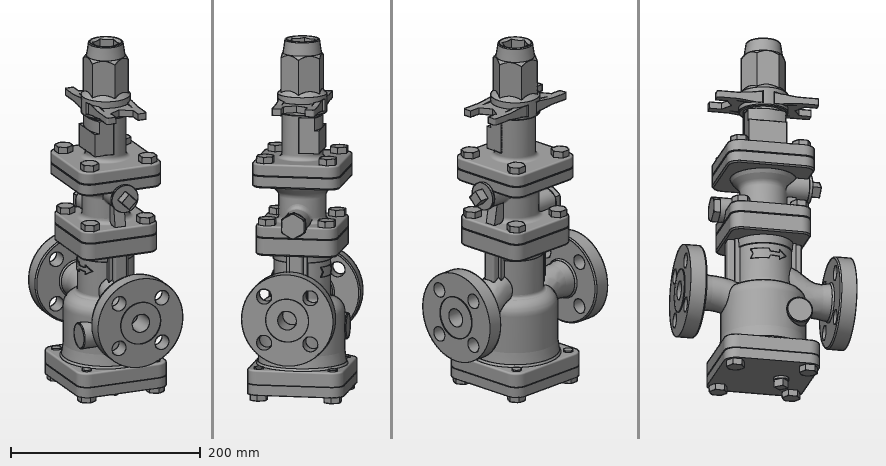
import cadquery as cq
import math


cover_bottom = -89.2
cover_split = -78.0
base_top = -62.5
skirt_top = -48.0
body_top = -7.5
mid_bottom = 59.4
mid_split = 78.6
mid_top = 91.0
upper_bottom = 132.6
upper_split = 145.5
upper_top = 158.2
housing_top = 208.0
handle_bottom = 212.7
handle_top = 219.8
cap_collar_bottom = 207.0
cap_collar_top = 227.0
hex_top = 270.5
cap_top = 285.3
overall_height = 385.0
drain_bottom = cap_top - overall_height

base_size = 103.0
base_corner = 13.0
mid_size = 87.0
mid_corner = 12.0
upper_size = 94.0
upper_corner = 13.0
plate_edge = 2.0
gasket_height = 1.0
base_gasket_height = 0.4
gasket_inset = 0.5

bolt_flats = 17.0
bolt_head = 6.8
bolt_head_chamfer = 0.7
base_bolt_offset = 39.5
mid_bolt_offset = 31.8
upper_bolt_offset = 33.5
stud_diameter = 10.0
stud_height = 1.5
stud_root = 1.0

body_radius = 45.0
skirt_radius = 46.8
neck_radius = 30.0
dome_radius = body_radius - neck_radius
neck_fillet = 4.0
neck_collar_bottom = 50.0
neck_collar_radius = 31.5
column_radius = 25.0
flare_radius = 35.0

overall_length = 182.0
flange_diameter = 98.0
flange_thickness = 18.0
flange_chamfer = 1.5
raised_face_diameter = 46.0
raised_face_height = 1.0
flange_hole_diameter = 16.0
flange_hole_circle = 70.0
flange_hole_count = 4
bore_diameter = 20.0
bore_depth = 30.0
pipe_root_diameter = 43.0
pipe_shoulder_diameter = 40.0
pipe_root_length = 2.0
pipe_diameter = 37.0
left_taper_length = 13.0
right_taper_length = 10.8
flange_back = overall_length / 2 - raised_face_height - flange_thickness

left_pipe_end = 28.0
left_pipe_rise = -7.0
left_pipe_slope = -0.4
right_pipe_end = 18.0
right_pipe_rise = 20.0
right_pipe_slope = 0.4

handle_half_width = 22.8
handle_rib_reach = 32.0


def corner_radius(flats):
    """Radius through the corners of a hexagon of the given width across flats."""
    return flats / 2 / math.cos(math.radians(30))


def hexagon(flats, height):
    """Hexagonal prism on Z = 0 with a corner on +X."""
    return cq.Workplane("XY").polygon(6, 2 * corner_radius(flats)).extrude(height)


def square_plate(size, corner, bottom, top):
    plate = cq.Workplane("XY").workplane(offset=bottom).rect(size, size).extrude(top - bottom)
    return plate.edges("|Z").fillet(corner)


def plate_pair(size, corner, bottom, split, top, seal, round_bottom):
    """Two square plates clamped on a slightly smaller gasket of height seal."""
    bottom_chamfer = 0.8 * plate_edge
    lower = square_plate(size, corner, bottom, split - seal / 2)
    upper = square_plate(size, corner, split + seal / 2, top).faces(">Z").edges().fillet(plate_edge)
    if round_bottom:
        lower = lower.faces("<Z").edges().chamfer(bottom_chamfer)
    gasket = square_plate(
        size - 2 * gasket_inset,
        corner - gasket_inset,
        split - seal / 2,
        split + seal / 2,
    )
    return lower.union(gasket).union(upper)


def corner_points(offset):
    return [(x, y) for x in (-offset, offset) for y in (-offset, offset)]


def bolt_head_up(x, y, z):
    """Hexagonal bolt head standing on height z with its top corners chamfered."""
    head = hexagon(bolt_flats, bolt_head)
    rounding = cq.Workplane("XY").circle(corner_radius(bolt_flats)).extrude(bolt_head)
    rounding = rounding.faces(">Z").chamfer(bolt_head_chamfer)
    return head.intersect(rounding).translate((x, y, z))


def turned_body():
    """Skirt, barrel, dome and neck below the middle plates."""
    foot_radius = skirt_radius + 1.5
    foot_height = 2.5
    collar_step = 0.5
    collar_taper = 0.8
    shoulder = body_top + dome_radius
    profile = (
        cq.Workplane("XZ")
        .moveTo(0, base_top)
        .lineTo(foot_radius, base_top)
        .lineTo(skirt_radius, base_top + foot_height)
        .lineTo(body_radius, skirt_top)
        .lineTo(body_radius, body_top)
        .radiusArc((neck_radius + neck_fillet, shoulder), -dome_radius)
        .radiusArc((neck_radius, shoulder + neck_fillet), neck_fillet)
        .lineTo(neck_radius, neck_collar_bottom)
        .lineTo(neck_collar_radius - collar_taper, neck_collar_bottom + collar_step)
        .lineTo(neck_collar_radius, mid_bottom)
        .lineTo(0, mid_bottom)
        .close()
    )
    return profile.revolve(360, (0, 0, 0), (0, 1, 0))


def turned_column():
    """Column between the middle and upper plates, flared at its top."""
    foot_fillet = 5.5
    throat_fillet = 8.0
    throat_bottom = 117.5
    flare_step_height = 4.2
    half_turn = math.radians(45)
    throat_top_radius = column_radius + throat_fillet * (1 - math.cos(half_turn))
    throat_top = throat_bottom + throat_fillet * math.sin(half_turn)
    flare_step = upper_bottom - flare_step_height
    flare_step_radius = throat_top_radius + flare_step - throat_top
    profile = (
        cq.Workplane("XZ")
        .moveTo(0, mid_top)
        .lineTo(column_radius + foot_fillet, mid_top)
        .radiusArc((column_radius, mid_top + foot_fillet), foot_fillet)
        .lineTo(column_radius, throat_bottom)
        .radiusArc((throat_top_radius, throat_top), throat_fillet)
        .lineTo(flare_step_radius, flare_step)
        .lineTo(flare_radius, upper_bottom)
        .lineTo(0, upper_bottom)
        .close()
    )
    return profile.revolve(360, (0, 0, 0), (0, 1, 0))


def blended_boss(side, axis_z, diameter, length, blend):
    """Horizontal boss leaving the column towards side * X with a fillet at its root."""
    core_extra = 2.0
    core_margin = diameter / 2 + blend + core_extra
    core = (
        cq.Workplane("XY").workplane(offset=axis_z - core_margin)
        .circle(column_radius).extrude(2 * core_margin)
    )
    boss = (
        cq.Workplane("YZ").center(0, axis_z).circle(diameter / 2).extrude(side * length)
    )
    return core.union(boss).edges("%BSPLINE").fillet(blend)


def pipe_branch(side, taper_length, end_x, end_z, end_slope):
    """Flange, tapered neck and curved pipe on the +X (side = 1) or -X (side = -1) end."""
    outer = overall_length / 2
    pipe_start = flange_back - taper_length
    flange = (
        cq.Workplane("YZ").workplane(offset=flange_back)
        .circle(flange_diameter / 2).extrude(flange_thickness)
        .faces("<X").chamfer(flange_chamfer)
    )
    face = (
        cq.Workplane("YZ").workplane(offset=outer - raised_face_height)
        .circle(raised_face_diameter / 2).extrude(raised_face_height)
    )
    neck = (
        cq.Workplane("YZ").workplane(offset=pipe_start).circle(pipe_diameter / 2)
        .workplane(offset=taper_length - pipe_root_length).circle(pipe_shoulder_diameter / 2)
        .workplane(offset=pipe_root_length).circle(pipe_root_diameter / 2).loft(ruled=True)
    )
    path = cq.Workplane("XZ").spline(
        [(pipe_start, 0), (end_x, end_z)], tangents=[(-1, 0), (-1, end_slope)]
    )
    pipe = cq.Workplane("YZ").workplane(offset=pipe_start).circle(pipe_diameter / 2).sweep(path)
    branch = flange.union(face).union(neck).union(pipe)
    holes = (
        cq.Workplane("YZ").workplane(offset=flange_back)
        .polarArray(flange_hole_circle / 2, 180 / flange_hole_count, 360, flange_hole_count)
        .circle(flange_hole_diameter / 2).extrude(flange_thickness)
    )
    bore = (
        cq.Workplane("YZ").workplane(offset=outer - bore_depth)
        .circle(bore_diameter / 2).extrude(bore_depth)
    )
    branch = branch.cut(holes).cut(bore)
    if side < 0:
        branch = branch.mirror("YZ")
    return branch


def side_channels():
    """Vertical passages cast on both sides of the neck."""
    channel_reach = 40.0
    channel_width = 14.0
    channel_rounding = 2.0
    web_reach = 33.0
    web_width = 22.0
    channel_bottom = 10.0
    height = mid_bottom - channel_bottom
    solid = None
    for side in (-1, 1):
        channel = (
            cq.Workplane("XY").workplane(offset=channel_bottom)
            .center(side * channel_reach / 2, 0).rect(channel_reach, channel_width).extrude(height)
            .edges("|Z").fillet(channel_rounding)
        )
        web = (
            cq.Workplane("XY").workplane(offset=channel_bottom)
            .center(side * web_reach / 2, 0).rect(web_reach, web_width).extrude(height)
        )
        both = channel.union(web)
        solid = both if solid is None else solid.union(both)
    return solid


def front_plug():
    """Round plug boss facing -Y on the barrel."""
    plug_x = 29.3
    plug_z = -26.8
    plug_face = -44.0
    plug_radius = 14.0
    plug_chamfer = 1.0
    plug = cq.Workplane("XZ").center(plug_x, plug_z).circle(plug_radius).extrude(-plug_face)
    return plug.faces("<Y").chamfer(plug_chamfer)


def drain_plug():
    drain_x = 19.4
    collar_diameter = 16.0
    collar_height = 2.5
    head_diagonal = 15.0
    head_height = cover_bottom - collar_height - drain_bottom
    head = (
        cq.Workplane("XY").workplane(offset=drain_bottom).center(drain_x, 0)
        .polygon(4, head_diagonal).extrude(head_height)
    )
    collar = (
        cq.Workplane("XY").workplane(offset=cover_bottom - collar_height).center(drain_x, 0)
        .circle(collar_diameter / 2).extrude(collar_height)
    )
    return head.union(collar)


def left_boss():
    """Round boss with a hexagonal plug on the -X side of the middle plate."""
    axis_z = 94.3
    plug_end = 56.5
    plug_start = 49.2
    boss_diameter = 26.0
    root_fillet = 5.0
    plug_flats = 24.2
    plug_chamfer = 1.0
    boss = blended_boss(-1, axis_z, boss_diameter, plug_start, root_fillet)
    plug_length = plug_end - plug_start
    plug = hexagon(plug_flats, plug_length)
    rounding = (
        cq.Workplane("XY").circle(corner_radius(plug_flats))
        .extrude(plug_length).faces(">Z").chamfer(plug_chamfer)
    )
    plug = plug.intersect(rounding).rotate((0, 0, 0), (0, 1, 0), -90)
    return boss.union(plug.translate((-plug_start, 0, axis_z)))


def right_boss():
    """Round boss with a square plug on the +X side under the upper plates, and its downward rib."""
    axis_z = 125.7
    boss_diameter = 28.0
    root_fillet = 2.0
    collar_diameter = 30.0
    collar_start = 47.0
    collar_end = 50.2
    head_end = 61.0
    head_diagonal = 17.0
    boss = blended_boss(1, axis_z, boss_diameter, collar_start, root_fillet)
    collar = (
        cq.Workplane("YZ").workplane(offset=collar_start).center(0, axis_z)
        .circle(collar_diameter / 2).extrude(collar_end - collar_start)
    )
    head = (
        cq.Workplane("YZ").workplane(offset=collar_end).center(0, axis_z)
        .polygon(4, head_diagonal).extrude(head_end - collar_end)
    )
    rib_width = 12.0
    rib_foot = 38.0
    rib_reach = 33.5
    rib_bend = 115.7
    rib = (
        cq.Workplane("XZ").workplane(offset=-rib_width / 2)
        .moveTo(0, mid_top).lineTo(rib_foot, mid_top).lineTo(rib_reach, rib_bend)
        .lineTo(rib_reach, axis_z).lineTo(0, axis_z).close().extrude(rib_width)
    )
    return boss.union(collar).union(head).union(rib)


def spring_housing():
    """Round housing whose -Y half is squared off, with a round-fronted block above."""
    radius = 21.6
    block_half_width = 20.5
    block_bottom = 166.3
    block_top = 191.0
    window_top = 204.5
    upper_block_depth = 16.5
    foot_fillet = 5.0
    barrel = (
        cq.Workplane("XZ").moveTo(0, upper_top).lineTo(radius + foot_fillet, upper_top)
        .radiusArc((radius, upper_top + foot_fillet), foot_fillet)
        .lineTo(radius, housing_top).lineTo(0, housing_top).close()
        .revolve(360, (0, 0, 0), (0, 1, 0))
    )
    for side in (-1, 1):
        flat = (
            cq.Workplane("XY").workplane(offset=block_bottom)
            .center(side * (block_half_width + radius / 2), -radius / 2)
            .rect(radius, radius).extrude(window_top - block_bottom)
        )
        barrel = barrel.cut(flat)
    block = (
        cq.Workplane("XY").workplane(offset=block_bottom).center(0, -radius / 2)
        .rect(2 * block_half_width, radius).extrude(block_top - block_bottom)
    )
    upper_block = (
        cq.Workplane("XY").workplane(offset=block_top)
        .moveTo(-block_half_width, 0)
        .lineTo(-block_half_width, -upper_block_depth)
        .threePointArc((0, -radius), (block_half_width, -upper_block_depth))
        .lineTo(block_half_width, 0)
        .close().extrude(window_top - block_top)
    )
    return barrel.union(block).union(upper_block)


def handle_rib(side, start_y, width):
    """Stiffening rib that thickens towards the middle of the handle."""
    rib_inner = 6.0
    rib_rise = 3.0
    return (
        cq.Workplane("XZ").workplane(offset=-start_y - width)
        .moveTo(side * rib_inner, handle_bottom - rib_rise)
        .lineTo(side * handle_rib_reach, handle_bottom)
        .lineTo(side * handle_rib_reach, handle_top)
        .lineTo(side * rib_inner, handle_top + rib_rise)
        .close().extrude(width)
    )


def handle():
    """Flat wrench plate with forked ends and stiffening ribs along both long sides."""
    half_length = 55.0
    slot_half_width = 12.8
    slot_side = 42.0
    slot_apex = 34.5
    rib_width = 6.7
    end_rounding = 2.0
    plate = (
        cq.Workplane("XY").workplane(offset=handle_bottom)
        .rect(2 * half_length, 2 * handle_half_width).extrude(handle_top - handle_bottom)
        .edges("|Z").fillet(end_rounding)
    )
    for side in (-1, 1):
        slot = (
            cq.Workplane("XY").workplane(offset=handle_bottom)
            .moveTo(side * half_length, -slot_half_width)
            .lineTo(side * slot_side, -slot_half_width)
            .lineTo(side * slot_apex, 0)
            .lineTo(side * slot_side, slot_half_width)
            .lineTo(side * half_length, slot_half_width)
            .close().extrude(handle_top - handle_bottom)
        )
        plate = plate.cut(slot)
        for start_y in (-handle_half_width, handle_half_width - rib_width):
            plate = plate.union(handle_rib(side, start_y, rib_width))
    return plate


def cap_collar():
    """Round collar around the handle, notched so that the handle ribs show between its lugs."""
    radius = 26.0
    edge = 1.0
    cone_height = 6.0
    cone_top_radius = 20.0
    collar = (
        cq.Workplane("XZ").moveTo(0, cap_collar_bottom).lineTo(radius - edge, cap_collar_bottom)
        .lineTo(radius, cap_collar_bottom + edge)
        .lineTo(radius, cap_collar_top).lineTo(cone_top_radius, cap_collar_top + cone_height)
        .lineTo(0, cap_collar_top + cone_height).close()
        .revolve(360, (0, 0, 0), (0, 1, 0))
    )
    for side in (-1, 1):
        collar = collar.cut(handle_rib(side, handle_half_width, radius))
        collar = collar.cut(handle_rib(side, -handle_half_width - radius, radius))
    return collar


def cap():
    """Hexagon and tapered top with a hexagonal socket."""
    hex_flats = 41.4
    hex_corner = corner_radius(hex_flats)
    hex_chamfer_height = 4.0
    hex_land_inset = 0.3
    hex_land_radius = hex_flats / 2 - hex_land_inset
    hex_height = hex_top - cap_collar_top
    hex_body = hexagon(hex_flats, hex_height).translate((0, 0, cap_collar_top))
    rounding = (
        cq.Workplane("XY").workplane(offset=cap_collar_top).circle(hex_corner).extrude(hex_height)
        .faces(">Z").chamfer(hex_chamfer_height, hex_corner - hex_land_radius)
    )
    top_radius = 18.2
    top_edge = 1.0
    taper_base_radius = 20.4
    taper = (
        cq.Workplane("XY").workplane(offset=hex_top).circle(taper_base_radius)
        .workplane(offset=cap_top - hex_top).circle(top_radius).loft()
        .faces(">Z").edges().chamfer(top_edge)
    )
    socket_flats = 24.5
    socket_depth = 12.0
    mouth_radius = 16.7
    mouth_depth = 2.0
    mouth_floor_radius = socket_flats / 2
    socket = hexagon(socket_flats, socket_depth).translate((0, 0, cap_top - socket_depth))
    mouth = (
        cq.Workplane("XY").workplane(offset=cap_top - mouth_depth).circle(mouth_floor_radius)
        .workplane(offset=mouth_depth).circle(mouth_radius).loft()
    )
    return hex_body.intersect(rounding).union(taper).cut(socket).cut(mouth)


def flow_arrow():
    """Raised arrow on the -Y side of the neck, pointing to +X."""
    axis_z = 39.0
    tail_x = -19.5
    notch_x = -17.0
    tail_end_x = -1.0
    shaft_x = 0.5
    head_x = 10.7
    tip_x = 19.0
    half_height = 5.4
    shaft_half_height = 2.2
    raised_by = 0.8
    outline = (
        cq.Workplane("XZ").center(0, axis_z)
        .moveTo(tail_x, -half_height)
        .lineTo(tail_end_x, -half_height)
        .lineTo(shaft_x, -shaft_half_height)
        .lineTo(head_x, -shaft_half_height)
        .lineTo(head_x, -half_height)
        .lineTo(tip_x, 0)
        .lineTo(head_x, half_height)
        .lineTo(head_x, shaft_half_height)
        .lineTo(shaft_x, shaft_half_height)
        .lineTo(tail_end_x, half_height)
        .lineTo(tail_x, half_height)
        .lineTo(notch_x, 0)
        .close().extrude(neck_radius + 2 * raised_by)
    )
    shell = (
        cq.Workplane("XY").workplane(offset=axis_z - 2 * half_height)
        .circle(neck_radius + raised_by).extrude(4 * half_height)
    )
    return outline.intersect(shell)


def assemble():
    """Join every feature into one solid."""
    base_plates = plate_pair(
        base_size, base_corner, cover_bottom, cover_split, base_top, base_gasket_height, False
    )
    mid_plates = plate_pair(
        mid_size, mid_corner, mid_bottom, mid_split, mid_top, gasket_height, True
    )
    upper_plates = plate_pair(
        upper_size, upper_corner, upper_bottom, upper_split, upper_top, gasket_height, True
    )
    left_pipe = pipe_branch(-1, left_taper_length, left_pipe_end, left_pipe_rise, left_pipe_slope)
    right_pipe = pipe_branch(1, right_taper_length, right_pipe_end, right_pipe_rise, right_pipe_slope)
    part = turned_body().union(base_plates).union(side_channels())
    part = part.union(left_pipe).union(right_pipe)
    part = part.union(mid_plates).union(turned_column()).union(upper_plates)
    part = part.union(left_boss()).union(right_boss())
    part = part.union(front_plug()).union(drain_plug()).union(flow_arrow())
    part = part.union(spring_housing()).union(handle()).union(cap_collar()).union(cap())
    for x, y in corner_points(mid_bolt_offset):
        part = part.union(bolt_head_up(x, y, mid_top))
    for x, y in corner_points(upper_bolt_offset):
        part = part.union(bolt_head_up(x, y, upper_top))
    for x, y in corner_points(base_bolt_offset):
        head = bolt_head_up(x, y, 0).mirror("XY").translate((0, 0, cover_bottom))
        stud = (
            cq.Workplane("XY").workplane(offset=base_top - stud_root).center(x, y)
            .circle(stud_diameter / 2).extrude(stud_root + stud_height)
        )
        part = part.union(head).union(stud)
    return part


result = assemble()